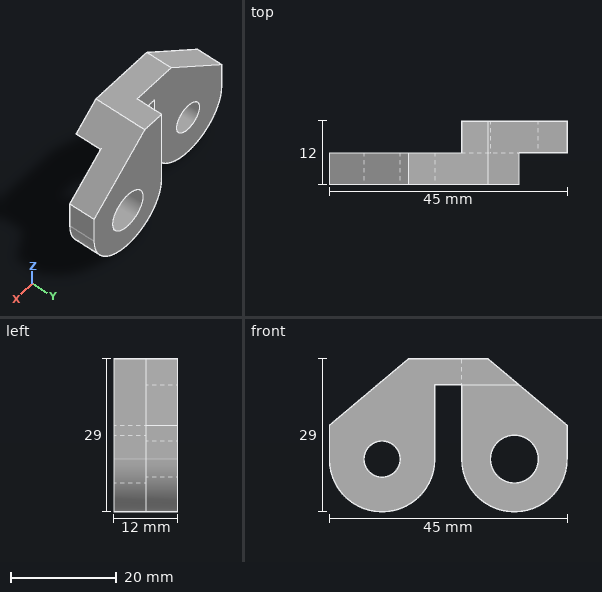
import cadquery as cq

length = 45.0
height = 29.0
depth = 12.0
lug_radius = 10.0
shoulder_height = 16.4
slope_run = 15.0
bridge_underside = 24.05
left_bore_diameter = 6.8
right_bore_diameter = 9.0

plate_thickness = depth / 2
lug_width = 2 * lug_radius
right_lug_start = length - lug_width
slope_per_unit = (height - shoulder_height) / slope_run
bridge_end = length - (bridge_underside - shoulder_height) / slope_per_unit


def plate(profile, back_y):
    """Extrude an XZ profile from back_y toward the front by one plate thickness."""
    return profile.close().extrude(plate_thickness).translate((0, back_y, 0))


def bore(center_x, diameter):
    """Cylinder through the full depth, on a lug axis."""
    return (
        cq.Workplane("XZ")
        .center(center_x, lug_radius)
        .circle(diameter / 2)
        .extrude(-depth)
    )


front_plate = plate(
    cq.Workplane("XZ")
    .moveTo(0, lug_radius)
    .lineTo(0, shoulder_height)
    .lineTo(slope_run, height)
    .lineTo(length - slope_run, height)
    .lineTo(bridge_end, bridge_underside)
    .lineTo(lug_width, bridge_underside)
    .lineTo(lug_width, lug_radius)
    .threePointArc((lug_radius, 0), (0, lug_radius)),
    plate_thickness,
)

back_plate = plate(
    cq.Workplane("XZ")
    .moveTo(right_lug_start, lug_radius)
    .lineTo(right_lug_start, height)
    .lineTo(length - slope_run, height)
    .lineTo(length, shoulder_height)
    .lineTo(length, lug_radius)
    .threePointArc((length - lug_radius, 0), (right_lug_start, lug_radius)),
    depth,
)

result = (
    front_plate.union(back_plate)
    .cut(bore(lug_radius, left_bore_diameter))
    .cut(bore(length - lug_radius, right_bore_diameter))
)